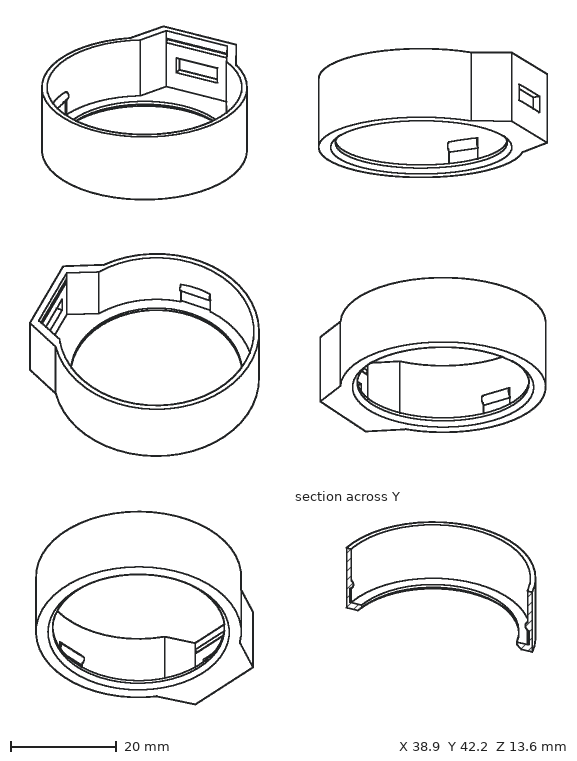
import cadquery as cq

height = 13.6
overall_length = 42.2
outer_diameter = 38.85
inner_diameter = 36.85
floor_thickness = 1.5
opening_diameter = 32.5
opening_chamfer = 0.9
outer_radius = outer_diameter / 2
inner_radius = inner_diameter / 2

bay_end = overall_length - outer_radius
bay_wall = 1.3
bay_inner_end = bay_end - bay_wall
bay_root = 15.95
outer_tip_half, outer_root_half = 7.75, 11.18
inner_tip_half, inner_root_half = 6.5, 9.2

window_width = 8.7
window_height = 3.15
window_bottom = 5.05
groove_depth = 0.45
groove_middle = 11.47

catch_width = 6.07
catch_tip_x = 17.7
relief_x = 18.47
catch_radius = 1.1
catch_middle = 5.6
catch_embed_radius = (inner_radius + outer_radius) / 2


def ring_with_bay(radius, end, tip_half, root_half, base_z):
    """Disc joined to a trapezoid, from base_z up to the top of the part."""
    depth = height - base_z
    disc = cq.Workplane("XY").workplane(offset=base_z).circle(radius).extrude(depth)
    bay = (
        cq.Workplane("XY")
        .workplane(offset=base_z)
        .polyline([(-root_half, 0), (-root_half, bay_root), (-tip_half, end),
                   (tip_half, end), (root_half, bay_root), (root_half, 0)])
        .close()
        .extrude(depth)
    )
    return disc.union(bay)


def box_from(width, length, depth, x, y, z):
    """Box centred on x, starting at y and z."""
    return (
        cq.Workplane("XY")
        .box(width, length, depth, centered=(True, False, False))
        .translate((x, y, z))
    )


def catch():
    """Horizontal rounded bead on the +X wall, kept clear of the outer surface."""
    bead = (
        cq.Workplane("XZ")
        .center(catch_tip_x + catch_radius, catch_middle)
        .circle(catch_radius)
        .extrude(catch_width / 2, both=True)
    )
    return bead.intersect(cq.Workplane("XY").circle(catch_embed_radius).extrude(height))


def relief():
    """Flat pocket in the +X wall between the floor and the catch."""
    start_x = opening_diameter / 2
    return box_from(
        relief_x - start_x, catch_width, catch_middle - floor_thickness,
        (start_x + relief_x) / 2, -catch_width / 2, floor_thickness,
    )


def groove():
    """V groove along the inside of the bay's end wall."""
    return (
        cq.Workplane("YZ")
        .polyline([(bay_inner_end, groove_middle - groove_depth),
                   (bay_inner_end + groove_depth, groove_middle),
                   (bay_inner_end, groove_middle + groove_depth)])
        .close()
        .extrude(inner_tip_half, both=True)
    )


body = ring_with_bay(outer_radius, bay_end, outer_tip_half, outer_root_half, 0)
cavity = ring_with_bay(inner_radius, bay_inner_end, inner_tip_half, inner_root_half, floor_thickness)
opening = cq.Workplane("XY").circle(opening_diameter / 2).extrude(floor_thickness)
opening_cone = (
    cq.Workplane("XY")
    .circle(opening_diameter / 2 + opening_chamfer)
    .workplane(offset=opening_chamfer)
    .circle(opening_diameter / 2)
    .loft()
)
body = body.cut(cavity).cut(opening).cut(opening_cone)

window = box_from(window_width, bay_wall, window_height, 0, bay_inner_end, window_bottom)
body = body.cut(window).cut(groove())

for angle in (0, 180):
    body = body.cut(relief().rotate((0, 0, 0), (0, 0, 1), angle))
    body = body.union(catch().rotate((0, 0, 0), (0, 0, 1), angle))

result = body